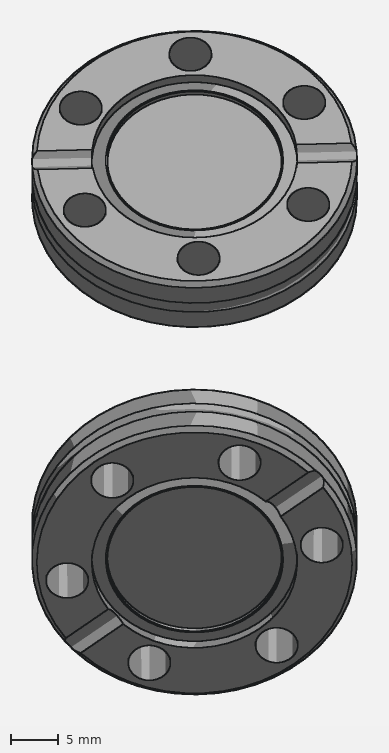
import cadquery as cq
import math

OUTER_RADIUS = 17.0
THICKNESS = 7.75
RIM_CHAMFER = 0.5
MID_HEIGHT = THICKNESS / 2

RIM_GROOVE_WIDTH = 1.53
RIM_GROOVE_DEPTH = 0.2

RECESS_RADIUS = 10.75
RECESS_DEPTH = 1.22
KNIFE_RADIUS = 9.28
KNIFE_INNER_RADIUS = 9.1
KNIFE_SLOPE = 20.0
KNIFE_HEIGHT = (RECESS_RADIUS - KNIFE_RADIUS) * math.tan(math.radians(KNIFE_SLOPE))

HOLE_COUNT = 6
HOLE_DIAMETER = 4.42
BOLT_CIRCLE_RADIUS = 13.5

CHANNEL_WIDTH = 2.45
CHANNEL_DEPTH = 0.6
CHANNEL_RADIUS = ((CHANNEL_WIDTH / 2) ** 2 + CHANNEL_DEPTH ** 2) / (2 * CHANNEL_DEPTH)
CHANNEL_ANGLES = (30.0, 210.0)
CHANNEL_START = KNIFE_RADIUS
CHANNEL_LENGTH = OUTER_RADIUS + RIM_CHAMFER - CHANNEL_START


def make_disc():
    """Disc with chamfered rims and recessed faces, revolved from its half section."""
    floor_low = RECESS_DEPTH
    floor_high = THICKNESS - RECESS_DEPTH
    groove_low = MID_HEIGHT - RIM_GROOVE_WIDTH / 2
    groove_high = MID_HEIGHT + RIM_GROOVE_WIDTH / 2
    return (
        cq.Workplane("XZ")
        .moveTo(0, floor_low)
        .lineTo(KNIFE_INNER_RADIUS, floor_low)
        .lineTo(KNIFE_INNER_RADIUS, floor_low - KNIFE_HEIGHT)
        .lineTo(KNIFE_RADIUS, floor_low - KNIFE_HEIGHT)
        .lineTo(RECESS_RADIUS, floor_low)
        .lineTo(RECESS_RADIUS, 0)
        .lineTo(OUTER_RADIUS - RIM_CHAMFER, 0)
        .lineTo(OUTER_RADIUS, RIM_CHAMFER)
        .lineTo(OUTER_RADIUS, groove_low)
        .threePointArc((OUTER_RADIUS - RIM_GROOVE_DEPTH, MID_HEIGHT), (OUTER_RADIUS, groove_high))
        .lineTo(OUTER_RADIUS, THICKNESS - RIM_CHAMFER)
        .lineTo(OUTER_RADIUS - RIM_CHAMFER, THICKNESS)
        .lineTo(RECESS_RADIUS, THICKNESS)
        .lineTo(RECESS_RADIUS, floor_high)
        .lineTo(KNIFE_RADIUS, floor_high + KNIFE_HEIGHT)
        .lineTo(KNIFE_INNER_RADIUS, floor_high + KNIFE_HEIGHT)
        .lineTo(KNIFE_INNER_RADIUS, floor_high)
        .lineTo(0, floor_high)
        .close()
        .revolve(360, (0, 0, 0), (0, 1, 0))
    )


def make_bolt_holes():
    """Cylinders for the through holes, evenly spaced on the bolt circle."""
    return (
        cq.Workplane("XY")
        .polarArray(BOLT_CIRCLE_RADIUS, 0, 360, HOLE_COUNT)
        .circle(HOLE_DIAMETER / 2)
        .extrude(THICKNESS)
    )


def make_channel(axis_height, angle):
    """Round cutter running outward from the knife edge, with its axis at the given height."""
    return (
        cq.Workplane("YZ", origin=(CHANNEL_START, 0, axis_height))
        .circle(CHANNEL_RADIUS)
        .extrude(CHANNEL_LENGTH)
        .rotate((0, 0, 0), (0, 0, 1), angle)
    )


result = make_disc().cut(make_bolt_holes())

axis_offset = CHANNEL_RADIUS - CHANNEL_DEPTH
for axis_height in (-axis_offset, THICKNESS + axis_offset):
    for angle in CHANNEL_ANGLES:
        result = result.cut(make_channel(axis_height, angle))